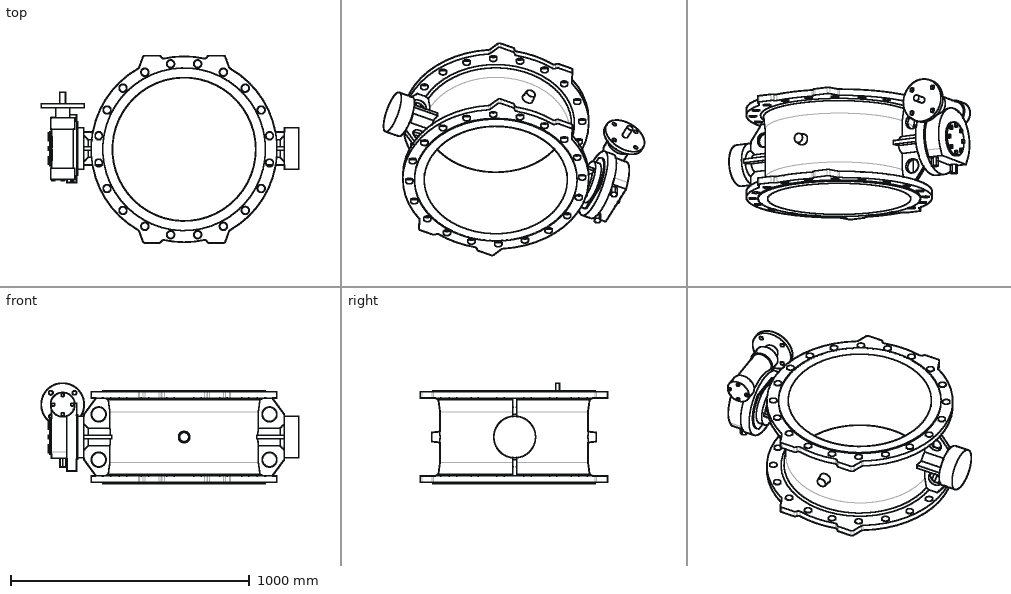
import cadquery as cq
import math


face_to_face = 390.0
bore_d = 600.0
body_d = 622.0
flare_d = 636.0
flare_root_d = 660.0
flare_start_z = 105.0
flare_end_z = 156.0
flange_d = 780.0
flange_thickness = 27.0
raised_face_d = 682.0
raised_face_height = 5.0
bolt_circle_d = 725.0
bolt_hole_d = 31.0
bolt_count = 20
half_length = face_to_face / 2
flange_top_z = half_length - raised_face_height
flange_under_z = flange_top_z - flange_thickness

lug_reach_y = 393.0
lug_outer_top_x = 171.0
lug_outer_root_x = 190.0
lug_inner_top_x = 100.5
lug_inner_root_x = 90.0
lug_base_y = 335.0
lug_corner_radius = 10.0

shaft_offset_y = 3.0
trunnion_end_x = 420.0
trunnion_d = 75.0
trunnion_cone_d = 111.0
trunnion_cone_length = 18.0
web_thickness = 16.0
rib_width = 139.0
web_corner_z = 95.0
web_top_x = 370.0
lifting_hole_d = 60.0
lifting_hole_x = 358.0
lifting_hole_z = 95.0
end_cap_d = 175.0
end_cap_outer_x = 481.0

pad_root_d = 47.0
pad_tip_d = 39.0
pad_tip_y = 345.0

mount_d = 175.0
mount_start_x = -446.0
spacer_d = 225.0
spacer_height = 186.0
spacer_start_x = -451.0
gear_disc_d = 285.0
gear_disc_start_x = -491.0
housing_d = 263.0
housing_start_x = -556.0
housing_flat_z = -90.0
housing_tangent_angle = math.radians(28.0)
cover_d = 143.0
cover_start_x = -563.0
cover_bolt_d = 16.0
cover_bolt_circle_d = 117.0
cover_bolt_start_x = -569.0
cover_bolt_count = 8

stop_screw_flats = 25.0
stop_screw_x = -508.5
stop_screw_y = 80.5
stop_screw_bottom_z = -126.0

worm_x = -509.0
input_flange_d = 181.0
worm_z = 135.9
worm_tube_d = 90.0
worm_collar_d = 102.0
worm_half_length = 129.0
worm_collar_length = 47.0
worm_screw_d = 13.0
worm_screw_circle_d = 80.0
worm_screw_height = 5.0
worm_screw_count = 4
input_neck_d = 60.0
input_flange_start_y = 171.0
input_flange_end_y = 188.5
input_hole_d = 16.5
input_hole_circle_d = 140.0
input_hole_count = 4
input_shaft_d = 25.0
input_shaft_end_y = 237.0


def cylinder_x(diameter, x_start, x_end, y=0.0, z=0.0):
    """Cylinder along X between two X positions."""
    length = x_end - x_start
    return cq.Workplane("YZ", origin=(x_start, y, z)).circle(diameter / 2).extrude(length)


def cylinder_y(diameter, y_start, y_end, x, z):
    """Cylinder along Y between two Y positions."""
    length = y_end - y_start
    return cq.Workplane("XZ", origin=(x, y_start, z)).circle(diameter / 2).extrude(-length)


def circle_points(diameter, count, start_angle=0.0):
    """Evenly spaced points on a circle; the start angle is in degrees."""
    points = []
    for i in range(count):
        angle = math.radians(start_angle + i * 360.0 / count)
        points.append((diameter / 2 * math.cos(angle), diameter / 2 * math.sin(angle)))
    return points


def make_barrel():
    """Solid barrel that flares out towards both flanges."""
    profile = (
        cq.Workplane("XZ")
        .moveTo(0, -flange_under_z)
        .lineTo(flare_root_d / 2, -flange_under_z)
        .lineTo(flare_d / 2, -flare_end_z)
        .lineTo(body_d / 2, -flare_start_z)
        .lineTo(body_d / 2, flare_start_z)
        .lineTo(flare_d / 2, flare_end_z)
        .lineTo(flare_root_d / 2, flange_under_z)
        .lineTo(0, flange_under_z)
        .close()
    )
    return profile.revolve(360, (0, 0, 0), (0, 1, 0))


def flange_edge_y(x):
    """Positive Y where the round flange edge passes the given X."""
    return math.sqrt((flange_d / 2) ** 2 - x ** 2)


def make_flange():
    """Upper flange with raised face, four standing lugs and bolt holes."""
    base = cq.Workplane("XY", origin=(0, 0, flange_under_z))
    flange = base.circle(flange_d / 2).extrude(flange_thickness)
    for side_x in (1, -1):
        for side_y in (1, -1):
            outline = [
                (side_x * lug_inner_root_x, side_y * lug_base_y),
                (side_x * lug_inner_root_x, side_y * flange_edge_y(lug_inner_root_x)),
                (side_x * lug_inner_top_x, side_y * lug_reach_y),
                (side_x * lug_outer_top_x, side_y * lug_reach_y),
                (side_x * lug_outer_root_x, side_y * flange_edge_y(lug_outer_root_x)),
                (side_x * lug_outer_root_x, side_y * lug_base_y),
            ]
            flange = flange.union(base.polyline(outline).close().extrude(flange_thickness))
    lug_corners = flange.edges("|Z").filter(lambda edge: abs(edge.Center().y) > lug_base_y)
    flange = lug_corners.fillet(lug_corner_radius)
    raised_face = base.circle(raised_face_d / 2).extrude(flange_thickness + raised_face_height)
    hole_points = circle_points(bolt_circle_d, bolt_count, 180.0 / bolt_count)
    bolt_holes = base.pushPoints(hole_points).circle(bolt_hole_d / 2).extrude(flange_thickness)
    return flange.union(raised_face).cut(bolt_holes)


def make_trunnion():
    """The +X shaft trunnion: round boss, upright web with lifting holes, and flat rib."""
    boss = cylinder_x(trunnion_d, 0, trunnion_end_x)
    cone = (
        cq.Workplane("YZ", origin=(trunnion_end_x - trunnion_cone_length, 0, 0))
        .circle(trunnion_d / 2)
        .workplane(offset=trunnion_cone_length)
        .circle(trunnion_cone_d / 2)
        .loft()
    )
    web_outline = [
        (0, -flange_under_z),
        (web_top_x, -flange_under_z),
        (trunnion_end_x, -web_corner_z),
        (trunnion_end_x, web_corner_z),
        (web_top_x, flange_under_z),
        (0, flange_under_z),
    ]
    web = cq.Workplane("XZ").polyline(web_outline).close().extrude(web_thickness / 2, both=True)
    for z in (lifting_hole_z, -lifting_hole_z):
        web = web.cut(cylinder_y(lifting_hole_d, -web_thickness, web_thickness, lifting_hole_x, z))
    rib = cq.Workplane("XY").box(trunnion_end_x, rib_width, web_thickness, centered=(False, True, True))
    trunnion = boss.union(cone).union(web).union(rib)
    return trunnion.translate((0, shaft_offset_y, 0))


def make_pad():
    """Tapered round pad on the +Y side of the barrel."""
    root_y = body_d / 2
    length = pad_tip_y - root_y
    taper = math.degrees(math.atan((pad_root_d - pad_tip_d) / 2 / length))
    root = cylinder_y(pad_root_d, bore_d / 2, root_y, 0, 0)
    tip = cq.Workplane("XZ", origin=(0, root_y, 0)).circle(pad_root_d / 2).extrude(-length, taper=taper)
    return root.union(tip)


def make_valve_body():
    """Barrel, flanges, trunnions and pads with the bore cut through them."""
    flange = make_flange()
    trunnion = make_trunnion()
    pad = make_pad()
    body = make_barrel().union(flange).union(flange.mirror("XY"))
    body = body.union(trunnion).union(trunnion.mirror("YZ"))
    body = body.union(pad).union(pad.mirror("XZ"))
    body = body.union(cylinder_x(end_cap_d, trunnion_end_x, end_cap_outer_x, shaft_offset_y))
    bore = cq.Workplane("XY", origin=(0, 0, -half_length)).circle(bore_d / 2).extrude(face_to_face)
    return body.cut(bore)


def make_housing():
    """Gear housing: round on top, with tangent sides running down to a flat underside."""
    radius = housing_d / 2
    tangent_y = radius * math.cos(housing_tangent_angle)
    tangent_z = -radius * math.sin(housing_tangent_angle)
    flat_y = tangent_y - (tangent_z - housing_flat_z) * math.tan(housing_tangent_angle)
    outline = (
        cq.Workplane("YZ", origin=(housing_start_x, 0, 0))
        .moveTo(flat_y, housing_flat_z)
        .lineTo(tangent_y, tangent_z)
        .threePointArc((0, radius), (-tangent_y, tangent_z))
        .lineTo(-flat_y, housing_flat_z)
        .close()
    )
    return outline.extrude(gear_disc_start_x - housing_start_x)


def make_spacer():
    """Round spacer disc with a flat on its upper and lower side."""
    disc = cylinder_x(spacer_d, spacer_start_x, mount_start_x)
    thickness = mount_start_x - spacer_start_x
    band = (
        cq.Workplane("XY", origin=(spacer_start_x, 0, 0))
        .box(thickness, spacer_d, spacer_height, centered=(False, True, True))
    )
    return disc.intersect(band)


def make_gear_case():
    """Discs of the gearbox on the shaft axis, with the cover and stop screws."""
    case = cylinder_x(mount_d, mount_start_x, -trunnion_end_x)
    case = case.union(make_spacer())
    case = case.union(cylinder_x(gear_disc_d, gear_disc_start_x, spacer_start_x))
    case = case.union(make_housing())
    case = case.union(cylinder_x(cover_d, cover_start_x, housing_start_x))
    for y, z in circle_points(cover_bolt_circle_d, cover_bolt_count):
        case = case.union(cylinder_x(cover_bolt_d, cover_bolt_start_x, cover_start_x, y, z))
    hexagon_d = stop_screw_flats / math.cos(math.pi / 6)
    for y in (stop_screw_y, -stop_screw_y):
        screw = (
            cq.Workplane("XY", origin=(stop_screw_x, y, stop_screw_bottom_z))
            .transformed(rotate=(0, 0, 90))
            .polygon(6, hexagon_d)
            .extrude(housing_flat_z - stop_screw_bottom_z)
        )
        case = case.union(screw)
    return case


def make_worm_drive():
    """Worm tube with end collars, and the input neck, flange and shaft on its +Y end."""
    inner_y = worm_half_length - worm_collar_length
    drive = cylinder_y(worm_tube_d, -worm_half_length, worm_half_length, worm_x, worm_z)
    for y_start in (-worm_half_length, inner_y):
        drive = drive.union(cylinder_y(worm_collar_d, y_start, y_start + worm_collar_length, worm_x, worm_z))
    for x, z in circle_points(worm_screw_circle_d, worm_screw_count):
        screw_end_y = -worm_half_length - worm_screw_height
        drive = drive.union(cylinder_y(worm_screw_d, screw_end_y, -worm_half_length, worm_x + x, worm_z + z))
    drive = drive.union(cylinder_y(input_neck_d, worm_half_length, input_flange_start_y, worm_x, worm_z))
    flange = cylinder_y(input_flange_d, input_flange_start_y, input_flange_end_y, worm_x, worm_z)
    for x, z in circle_points(input_hole_circle_d, input_hole_count, 45.0):
        hole = cylinder_y(input_hole_d, input_flange_start_y, input_flange_end_y, worm_x + x, worm_z + z)
        flange = flange.cut(hole)
    shaft = cylinder_y(input_shaft_d, input_flange_end_y, input_shaft_end_y, worm_x, worm_z)
    return drive.union(flange).union(shaft)


gearbox = make_gear_case().union(make_worm_drive()).translate((0, shaft_offset_y, 0))
result = make_valve_body().union(gearbox)